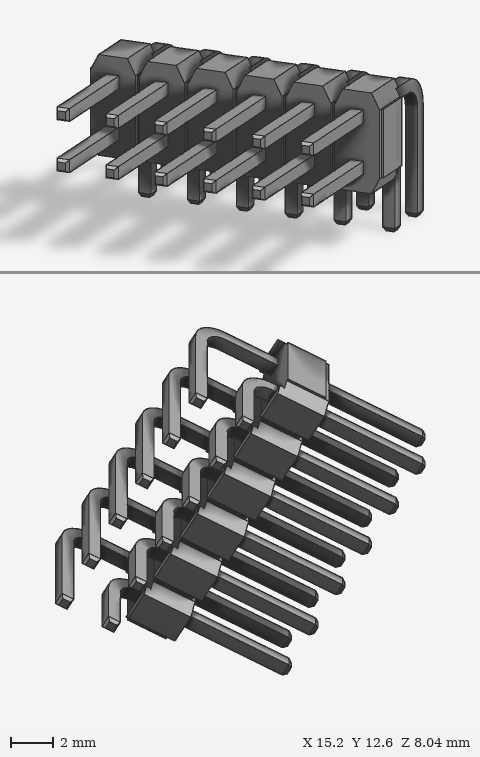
import cadquery as cq


POSITIONS = 6
PITCH = 2.54

BODY_WIDTH = 2.34
BODY_DEPTH = 2.54
BODY_HEIGHT = 5.0
CORNER_WIDTH = 0.42
CORNER_HEIGHT = 0.8
RECESS_DEPTH = 0.25
LIP_HEIGHT = 0.425
WEB_FRONT_SETBACK = 0.2

PIN_SIZE = 0.64
PIN_FRONT_LENGTH = 5.8
PIN_DROP = 3.04
PIN_REAR_REACH = 6.76
BEND_INNER_RADIUS = 1.0
TIP_LENGTH = 0.21
TIP_SIZE = 0.4

BEND_RADIUS = BEND_INNER_RADIUS + PIN_SIZE / 2
LOWER_ROW_Z = (BODY_HEIGHT - PITCH) / 2
UPPER_ROW_Z = LOWER_ROW_Z + PITCH
UPPER_TAIL_Y = PIN_REAR_REACH - PIN_SIZE / 2
LOWER_TAIL_Y = UPPER_TAIL_Y - PITCH


def make_insulator():
    """Octagonal block with a recessed rear face and thin webs out to the neighbours."""
    block = (
        cq.Workplane("XY")
        .box(BODY_WIDTH, BODY_DEPTH, BODY_HEIGHT, centered=(True, False, False))
    )
    for side in (-1, 1):
        for edge_z, inward in ((0, 1), (BODY_HEIGHT, -1)):
            corner = (
                cq.Workplane("XZ")
                .moveTo(side * BODY_WIDTH / 2, edge_z)
                .lineTo(side * (BODY_WIDTH / 2 - CORNER_WIDTH), edge_z)
                .lineTo(side * BODY_WIDTH / 2, edge_z + inward * CORNER_HEIGHT)
                .close()
                .extrude(-BODY_DEPTH)
            )
            block = block.cut(corner)

    recess = (
        cq.Workplane("XY")
        .box(BODY_WIDTH, RECESS_DEPTH, BODY_HEIGHT - 2 * LIP_HEIGHT, centered=(True, False, False))
        .translate((0, BODY_DEPTH - RECESS_DEPTH, LIP_HEIGHT))
    )

    web_depth = BODY_DEPTH - RECESS_DEPTH - WEB_FRONT_SETBACK
    web = (
        cq.Workplane("XY")
        .box(PITCH, web_depth, BODY_HEIGHT - 2 * CORNER_HEIGHT, centered=(True, False, False))
        .translate((0, WEB_FRONT_SETBACK, CORNER_HEIGHT))
    )
    return block.cut(recess).union(web)


def make_tip(origin, direction):
    """Tapered pin end that starts at origin and narrows along direction."""
    base = cq.Plane(origin=origin, xDir=(1, 0, 0), normal=direction)
    return (
        cq.Workplane(base)
        .rect(PIN_SIZE, PIN_SIZE)
        .workplane(offset=TIP_LENGTH)
        .rect(TIP_SIZE, TIP_SIZE)
        .loft(ruled=True)
    )


def make_pin(row_z, tail_y):
    """Square pin that runs back from its front tip, then bends down to its tail tip."""
    half = PIN_SIZE / 2
    front_y = TIP_LENGTH - PIN_FRONT_LENGTH
    tail_z = TIP_LENGTH - PIN_DROP
    bend_y = tail_y - BEND_RADIUS
    bend_z = row_z - BEND_RADIUS
    shank = (
        cq.Workplane("YZ")
        .moveTo(front_y, row_z + half)
        .lineTo(bend_y, row_z + half)
        .radiusArc((tail_y + half, bend_z), BEND_RADIUS + half)
        .lineTo(tail_y + half, tail_z)
        .lineTo(tail_y - half, tail_z)
        .lineTo(tail_y - half, bend_z)
        .radiusArc((bend_y, row_z - half), -BEND_INNER_RADIUS)
        .lineTo(front_y, row_z - half)
        .close()
        .extrude(half, both=True)
    )
    front_tip = make_tip((0, front_y, row_z), (0, -1, 0))
    tail_tip = make_tip((0, tail_y, tail_z), (0, 0, -1))
    return shank.union(front_tip).union(tail_tip)


def make_position():
    """One header position: insulator and its two pins as a single solid."""
    position = make_insulator()
    for row_z, tail_y in ((LOWER_ROW_Z, LOWER_TAIL_Y), (UPPER_ROW_Z, UPPER_TAIL_Y)):
        position = position.union(make_pin(row_z, tail_y))
    return position


position = make_position()
header_positions = []
for index in range(POSITIONS):
    centre_x = (index - (POSITIONS - 1) / 2) * PITCH
    header_positions.append(position.translate((centre_x, 0, 0)).val())

result = cq.Compound.makeCompound(header_positions)